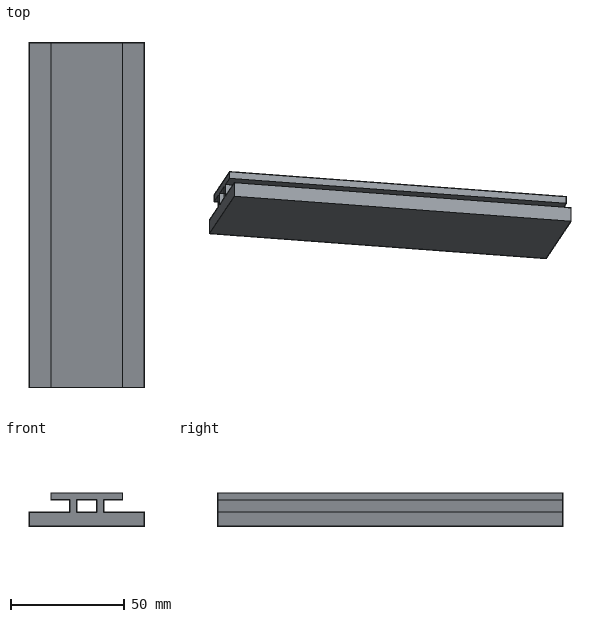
import cadquery as cq

length = 152.4
base_width = 50.8
total_height = 14.86

base_thickness = 6.35
top_width = 31.75
top_thickness = 3.175
web_thickness = 3.175
web_spacing = 12.0
web_height = total_height - base_thickness - top_thickness


def full_length_bar(width, height, center_x, bottom_z):
    """Rectangular bar running the whole length of the part along Y."""
    bar = cq.Workplane("XY").box(width, length, height, centered=(True, True, False))
    return bar.translate((center_x, 0, bottom_z))


result = full_length_bar(base_width, base_thickness, 0, 0)

for side in (-1, 1):
    web_x = side * web_spacing / 2
    result = result.union(full_length_bar(web_thickness, web_height, web_x, base_thickness))

top_bottom_z = base_thickness + web_height
result = result.union(full_length_bar(top_width, top_thickness, 0, top_bottom_z))